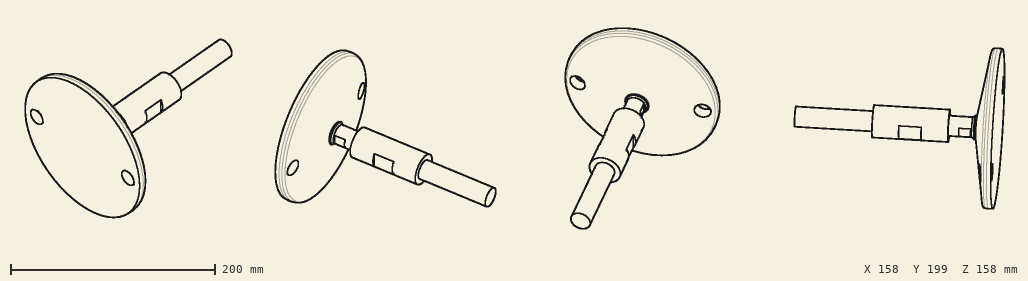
import cadquery as cq
import math


foot_radius = 158.0 / 2
rim_draft = 0.4
rim_ridge_y = 4.4
rim_top_y = 7.4
shoulder_radius = 2.4
foot_top_y = 20.7
foot_top_radius = 12.5
cone_angle = 9.7
anchor_hole_diameter = 16.5
anchor_hole_offset = 62.5
anchor_hole_reach = 39.8

spindle_end_y = 199.0
stem_diameter = 20.0
stem_radius = stem_diameter / 2
flange_base_radius = 10.7
flange_radius = 12.1
flange_edge_y = 22.0
flange_lip_radius = 11.3
flange_lip_y = 22.7
flange_top_y = 24.9
collar_diameter = 32.0
collar_radius = collar_diameter / 2
collar_start_y = 47.8
collar_length = 74.6
collar_end_y = collar_start_y + collar_length

stem_flat_width = 17.0
stem_flat_start_y = 25.9
stem_flat_end_y = 37.6
collar_flat_width = 27.0
collar_flat_length = 22.0
collar_middle_y = (collar_start_y + collar_end_y) / 2


def revolve_about_y(profile):
    return profile.close().revolve(360, (0, 0, 0), (0, 1, 0))


def make_foot():
    rim_edge_radius = foot_radius - rim_draft
    arc_center_x = rim_edge_radius - shoulder_radius

    def shoulder_point(angle):
        return (
            arc_center_x + shoulder_radius * math.cos(math.radians(angle)),
            rim_top_y + shoulder_radius * math.sin(math.radians(angle)),
        )

    arc_end_angle = 90 - cone_angle
    profile = (
        cq.Workplane("XY")
        .lineTo(rim_edge_radius, 0)
        .lineTo(foot_radius, rim_ridge_y)
        .lineTo(rim_edge_radius, rim_top_y)
        .threePointArc(shoulder_point(arc_end_angle / 2), shoulder_point(arc_end_angle))
        .lineTo(foot_top_radius, foot_top_y)
        .lineTo(0, foot_top_y)
    )
    foot = revolve_about_y(profile)
    for side in (-1, 1):
        foot = foot.cut(anchor_hole(side))
    return foot


def anchor_hole(side):
    """Drill square to the conical face, leaning outward with height."""
    lean = math.radians(cone_angle)
    axis = cq.Vector(side * math.sin(lean), math.cos(lean), 0)
    center = cq.Vector(side * anchor_hole_offset, 0, 0)
    return cq.Solid.makeCylinder(
        anchor_hole_diameter / 2,
        2 * anchor_hole_reach,
        center - axis * anchor_hole_reach,
        axis,
    )


def flat_cutter(side, width, start_y, end_y):
    """Block that leaves a flat facing X, at half the width from the axis."""
    depth = collar_diameter
    return cq.Workplane("XY").box(depth, end_y - start_y, collar_diameter).translate(
        (side * (width + depth) / 2, (start_y + end_y) / 2, 0)
    )


def make_spindle():
    profile = (
        cq.Workplane("XY")
        .moveTo(0, foot_top_y)
        .lineTo(flange_base_radius, foot_top_y)
        .lineTo(flange_radius, flange_edge_y)
        .lineTo(flange_lip_radius, flange_lip_y)
        .lineTo(stem_radius, flange_top_y)
        .lineTo(stem_radius, collar_start_y)
        .lineTo(collar_radius, collar_start_y)
        .lineTo(collar_radius, collar_end_y)
        .lineTo(stem_radius, collar_end_y)
        .lineTo(stem_radius, spindle_end_y)
        .lineTo(0, spindle_end_y)
    )
    spindle = revolve_about_y(profile)
    collar_flat_start_y = collar_middle_y - collar_flat_length / 2
    collar_flat_end_y = collar_middle_y + collar_flat_length / 2
    for side in (-1, 1):
        spindle = spindle.cut(flat_cutter(side, stem_flat_width, stem_flat_start_y, stem_flat_end_y))
        spindle = spindle.cut(
            flat_cutter(side, collar_flat_width, collar_flat_start_y, collar_flat_end_y)
        )
    return spindle


foot = make_foot()
spindle = make_spindle()
result = cq.Compound.makeCompound([foot.solids().val(), spindle.solids().val()])